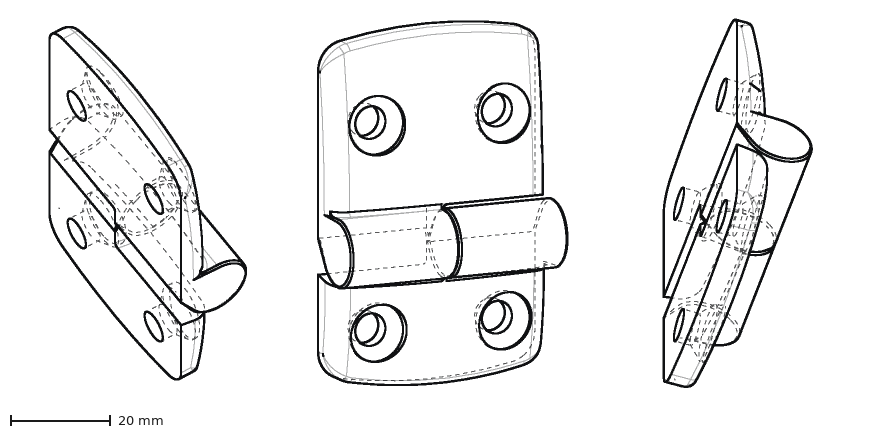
import cadquery as cq
import math

WIDTH = 48.0
HALF_WIDTH = WIDTH / 2

UPPER_REACH = 43.4
LOWER_REACH = 73 - UPPER_REACH
END_RADIUS = 100.0
CORNER_RADIUS = 6.0

ARCH_RADIUS = 211.7
SIDE_ROUND = 4.1
END_ROUND = 1.5
UPPER_THICKNESS = 8.0
UPPER_CROWN = 8.0
UPPER_BOW_RADIUS = 193.45
LOWER_THICKNESS = 8.5
LOWER_CROWN = 8.75
LOWER_BOW_RADIUS = 80.3

AXIS_Y = 8.9
KNUCKLE_RADIUS = 7.0
KNUCKLE_FOOT = 1.45
KNUCKLE_EDGE_BREAK = 0.45
KNUCKLE_BLEND = 0.9
BLEND_ROOT = 0.2

RECESS_EDGE = 6.0
RECESS_SLOPE = 0.22
RECESS_CORNER = 0.9

HOLE_DIAMETER = 6.65
HOLE_X = 14.0
UPPER_HOLE_Z = 25.0
LOWER_HOLE_Z = 17.5
HOLE_STRAIGHT = 3.4
MOUTH_DIAMETER = 12.0

CLEAR = 14.6


def leaf_outline(reach):
    """Prism of the leaf's face outline, from the knuckle foot to the bowed free end."""
    end_drop = END_RADIUS - math.sqrt(END_RADIUS**2 - HALF_WIDTH**2)
    return (
        cq.Workplane("XZ")
        .moveTo(-HALF_WIDTH, KNUCKLE_FOOT)
        .lineTo(-HALF_WIDTH, reach - end_drop)
        .threePointArc((0, reach), (HALF_WIDTH, reach - end_drop))
        .lineTo(HALF_WIDTH, KNUCKLE_FOOT)
        .close()
        .extrude(-CLEAR)
        .edges("|Y")
        .edges(">Z")
        .fillet(CORNER_RADIUS)
    )


def back_curve_points(thickness):
    """Points (x, y) along the +X half of the back, from the middle of the leaf to the side wall.

    The arch runs from the first to the second point; the side rounding, tangent to it, runs from
    the second through the third to the fourth.
    """
    arch_center_y = thickness - ARCH_RADIUS
    round_x = HALF_WIDTH - SIDE_ROUND
    round_y = arch_center_y + math.sqrt((ARCH_RADIUS - SIDE_ROUND) ** 2 - round_x**2)
    arch_angle = math.asin(round_x / (ARCH_RADIUS - SIDE_ROUND))
    mid_angle = (math.pi / 2 + arch_angle) / 2
    return [
        (0, thickness),
        (ARCH_RADIUS * math.sin(arch_angle), arch_center_y + ARCH_RADIUS * math.cos(arch_angle)),
        (round_x + SIDE_ROUND * math.sin(mid_angle), round_y + SIDE_ROUND * math.cos(mid_angle)),
        (HALF_WIDTH, round_y),
    ]


def bowed_back(thickness, crown, bow_radius):
    """Ring whose outer surface is the doubly bowed back with its rounded sides."""
    crest, arch_end, round_middle, side = back_curve_points(thickness)
    left_arch_end, left_round_middle, left_side = [
        (-x, y) for x, y in (arch_end, round_middle, side)
    ]
    bow_axis_y = thickness - bow_radius
    return (
        cq.Workplane("XY", origin=(0, 0, crown))
        .moveTo(-HALF_WIDTH, -CLEAR)
        .lineTo(*left_side)
        .threePointArc(left_round_middle, left_arch_end)
        .threePointArc(crest, arch_end)
        .threePointArc(round_middle, side)
        .lineTo(HALF_WIDTH, -CLEAR)
        .close()
        .revolve(360, (0, bow_axis_y, 0), (1, bow_axis_y, 0))
    )


def knuckle_section(x, radius):
    """Closed wire at the given x: the barrel with two flats that run to the mounting face."""
    foot_distance = math.hypot(AXIS_Y, KNUCKLE_FOOT)
    flat_angle = -math.atan2(KNUCKLE_FOOT, AXIS_Y) - math.asin(radius / foot_distance)
    flat_length = math.sqrt(foot_distance**2 - radius**2)
    tangent_y = flat_length * math.cos(flat_angle)
    tangent_z = KNUCKLE_FOOT + flat_length * math.sin(flat_angle)
    return (
        cq.Workplane("YZ", origin=(x, 0, 0))
        .moveTo(0, KNUCKLE_FOOT)
        .lineTo(tangent_y, tangent_z)
        .threePointArc((AXIS_Y + radius, 0), (AXIS_Y, radius))
        .lineTo(0, KNUCKLE_RADIUS)
        .close()
        .val()
    )


def knuckle():
    """Knuckle over the +X half of the leaf, with both end edges bevelled."""
    end_radius = KNUCKLE_RADIUS - KNUCKLE_EDGE_BREAK
    sections = [
        knuckle_section(0, end_radius),
        knuckle_section(KNUCKLE_EDGE_BREAK, KNUCKLE_RADIUS),
        knuckle_section(HALF_WIDTH - KNUCKLE_EDGE_BREAK, KNUCKLE_RADIUS),
        knuckle_section(HALF_WIDTH, end_radius),
    ]
    return cq.Workplane(cq.Solid.makeLoft(sections, True))


def knuckle_blend(thickness):
    """Concave fillet between the top of the knuckle and the leaf back, short of the end bevels."""
    crest, arch_end, round_middle, side = back_curve_points(thickness)
    half_arch_angle = math.asin(arch_end[0] / ARCH_RADIUS) / 2
    arch_middle = (
        ARCH_RADIUS * math.sin(half_arch_angle),
        thickness - ARCH_RADIUS * (1 - math.cos(half_arch_angle)),
    )
    back_curve = (
        cq.Workplane("XY", origin=(0, 0, KNUCKLE_RADIUS))
        .moveTo(*crest)
        .threePointArc(arch_middle, arch_end)
        .threePointArc(round_middle, side)
    )
    arc_offset = KNUCKLE_BLEND * (1 - math.sqrt(0.5))
    fillet_strip = (
        cq.Workplane("YZ", origin=(0, thickness, KNUCKLE_RADIUS))
        .moveTo(KNUCKLE_BLEND, 0)
        .threePointArc((arc_offset, arc_offset), (0, KNUCKLE_BLEND))
        .lineTo(-BLEND_ROOT, KNUCKLE_BLEND)
        .lineTo(-BLEND_ROOT, -BLEND_ROOT)
        .lineTo(KNUCKLE_BLEND, -BLEND_ROOT)
        .close()
        .sweep(back_curve)
    )
    unbevelled = (
        cq.Workplane("XY", origin=(HALF_WIDTH / 2, 0, 0))
        .box(HALF_WIDTH - 2 * KNUCKLE_EDGE_BREAK, WIDTH, WIDTH)
    )
    return fillet_strip.intersect(unbevelled)


def recess():
    """Space over the -X half of the leaf for the other leaf's knuckle."""
    return (
        cq.Workplane("YZ")
        .moveTo(0, 0)
        .lineTo(0, RECESS_EDGE)
        .lineTo(CLEAR, RECESS_EDGE + RECESS_SLOPE * CLEAR)
        .lineTo(CLEAR, 0)
        .close()
        .extrude(-WIDTH)
        .faces(">X")
        .edges(">Z")
        .fillet(RECESS_CORNER)
    )


def screw_hole(x, z):
    """Straight hole, conical seat for the screw head and a round mouth up through the back."""
    hole_radius = HOLE_DIAMETER / 2
    mouth_radius = MOUTH_DIAMETER / 2
    seat_top = HOLE_STRAIGHT + mouth_radius - hole_radius
    return (
        cq.Workplane("XY", origin=(x, 0, z))
        .lineTo(hole_radius, 0)
        .lineTo(hole_radius, HOLE_STRAIGHT)
        .lineTo(mouth_radius, seat_top)
        .lineTo(mouth_radius, CLEAR)
        .lineTo(0, CLEAR)
        .close()
        .revolve(360, (0, 0, 0), (0, 1, 0))
    )


def leaf(reach, thickness, crown, bow_radius, hole_z):
    """Leaf that reaches up from the pin axis, with its knuckle on the +X half."""
    plate = leaf_outline(reach).intersect(bowed_back(thickness, crown, bow_radius))
    plate = plate.faces(">Z").edges(">Y").fillet(END_ROUND)
    body = plate.cut(recess()).union(knuckle()).union(knuckle_blend(thickness))
    for x in (-HOLE_X, HOLE_X):
        body = body.cut(screw_hole(x, hole_z))
    return body


upper_leaf = leaf(UPPER_REACH, UPPER_THICKNESS, UPPER_CROWN, UPPER_BOW_RADIUS, UPPER_HOLE_Z)

lower_leaf = leaf(LOWER_REACH, LOWER_THICKNESS, LOWER_CROWN, LOWER_BOW_RADIUS, LOWER_HOLE_Z)
lower_leaf = lower_leaf.rotate((0, 0, 0), (0, 1, 0), 180)

result = cq.Compound.makeCompound([upper_leaf.val(), lower_leaf.val()])